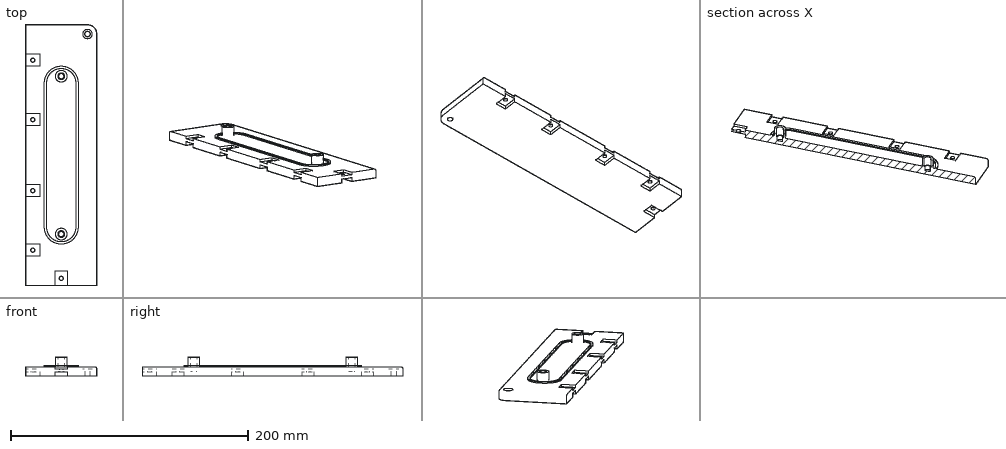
import cadquery as cq

PLATE_WIDTH = 60.0
PLATE_LENGTH = 220
PLATE_THICKNESS = 8.0
CORNER_RADIUS = 8.0
EDGE_ROUND = 2.0

CORNER_HOLE_DIAMETER = 4.5
CORNER_BORE_DIAMETER = 8.0
CORNER_BORE_DEPTH = 2.0

TAB_WIDTH = 10.1
TAB_DEPTH = 12.0
TAB_TOP_RECESS = 2.0
TAB_BOTTOM_RECESS = 3.3
TAB_HOLE_DIAMETER = 3.3
TAB_HOLE_INSET = TAB_DEPTH / 2
INNER_TAB_OFFSET = 30.0
OUTER_TAB_OFFSET = 80.0

RIM_LENGTH = 150.0
RIM_OUTER_WIDTH = 28.8
RIM_WALL = 2.0
RIM_HEIGHT = 1.0

TOTAL_HEIGHT = 16.0
POST_DIAMETER = 10.0
POST_SPACING = 133.0
POST_FOOT_FILLET = 1.0
POST_BORE_DIAMETER = 5.7
POST_PILOT_DIAMETER = 4.5
POST_HEIGHT = TOTAL_HEIGHT - PLATE_THICKNESS
POST_PILOT_DEPTH = POST_HEIGHT + PLATE_THICKNESS / 2

RIGHT_SIDE = PLATE_WIDTH / 2
LEFT_SIDE = -RIGHT_SIDE
BACK_SIDE = PLATE_LENGTH / 2
FRONT_SIDE = -BACK_SIDE


def make_plate():
    """Plate with one round corner and its top edge rounded along the right and back sides."""
    plate = cq.Workplane("XY").rect(PLATE_WIDTH, PLATE_LENGTH).extrude(PLATE_THICKNESS)
    plate = plate.edges(">X and >Y").edges("|Z").fillet(CORNER_RADIUS)
    return plate.faces(">X").edges(">Z").fillet(EDGE_ROUND)


def cut_corner_hole(body):
    """Counterbored screw hole through the rounded corner."""
    return (
        body.faces(">Z")
        .workplane(origin=(RIGHT_SIDE - CORNER_RADIUS, BACK_SIDE - CORNER_RADIUS, PLATE_THICKNESS))
        .cboreHole(CORNER_HOLE_DIAMETER, CORNER_BORE_DIAMETER, CORNER_BORE_DEPTH)
    )


def tab_cutter():
    """Recesses and hole of one tab, reaching in +X from a plate side at X = 0."""
    top = cq.Workplane("XY").box(TAB_DEPTH, TAB_WIDTH, TAB_TOP_RECESS, centered=(False, True, False))
    top = top.translate((0, 0, PLATE_THICKNESS - TAB_TOP_RECESS))
    bottom = cq.Workplane("XY").box(TAB_DEPTH, TAB_WIDTH, TAB_BOTTOM_RECESS, centered=(False, True, False))
    hole = cq.Workplane("XY").center(TAB_HOLE_INSET, 0).circle(TAB_HOLE_DIAMETER / 2)
    hole = hole.extrude(PLATE_THICKNESS)
    return top.union(bottom).union(hole)


def cut_tabs(body):
    """Four tabs along the left side and one in the middle of the front side."""
    cutter = tab_cutter()
    for y in (-OUTER_TAB_OFFSET, -INNER_TAB_OFFSET, INNER_TAB_OFFSET, OUTER_TAB_OFFSET):
        body = body.cut(cutter.translate((LEFT_SIDE, y, 0)))
    front_cutter = cutter.rotate((0, 0, 0), (0, 0, 1), 90)
    return body.cut(front_cutter.translate((0, FRONT_SIDE, 0)))


def add_rim(body):
    """Oval wall standing on the plate."""
    inset = 2 * RIM_WALL
    rim = (
        cq.Workplane("XY")
        .workplane(offset=PLATE_THICKNESS)
        .slot2D(RIM_LENGTH, RIM_OUTER_WIDTH, 90)
        .slot2D(RIM_LENGTH - inset, RIM_OUTER_WIDTH - inset, 90)
        .extrude(RIM_HEIGHT)
    )
    return body.union(rim)


def make_post_profile():
    """Half section of a post, with a concave fillet flaring out at its foot."""
    radius = POST_DIAMETER / 2
    foot_radius = radius + POST_FOOT_FILLET
    return (
        cq.Workplane("XZ")
        .lineTo(foot_radius, 0)
        .radiusArc((radius, POST_FOOT_FILLET), POST_FOOT_FILLET)
        .lineTo(radius, POST_HEIGHT)
        .lineTo(0, POST_HEIGHT)
        .close()
    )


def add_posts(body):
    """Two posts on the plate, each with a stepped blind hole from its top."""
    post = make_post_profile().revolve(360, (0, 0, 0), (0, 1, 0))
    bore = cq.Workplane("XY").circle(POST_BORE_DIAMETER / 2).extrude(POST_HEIGHT)
    pilot_bottom = POST_HEIGHT - POST_PILOT_DEPTH
    pilot = cq.Workplane("XY").workplane(offset=pilot_bottom).circle(POST_PILOT_DIAMETER / 2)
    hole = bore.union(pilot.extrude(POST_PILOT_DEPTH))
    for y in (-POST_SPACING / 2, POST_SPACING / 2):
        place = (0, y, PLATE_THICKNESS)
        body = body.union(post.translate(place)).cut(hole.translate(place))
    return body


result = make_plate()
result = cut_corner_hole(result)
result = cut_tabs(result)
result = add_rim(result)
result = add_posts(result)